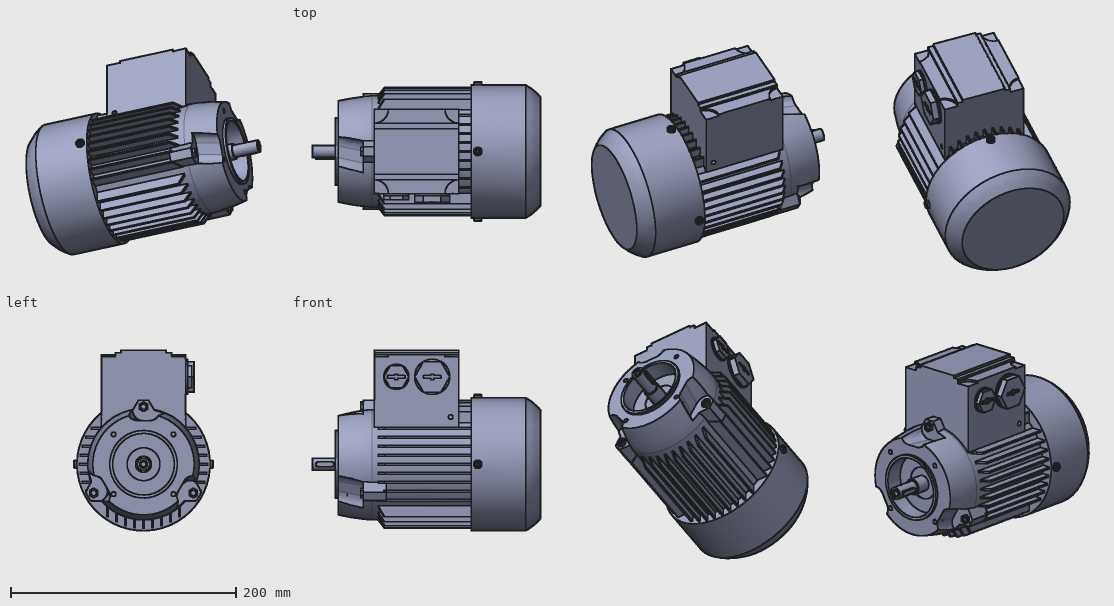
import cadquery as cq
import math


shaft_radius = 5.5
shoulder_radius = 7.0
shoulder_x = 23.0
centre_hole_radius = 2.5
centre_hole_mouth_radius = 3.5
centre_hole_depth = 10.1
centre_hole_chamfer = centre_hole_mouth_radius - centre_hole_radius
key_start_x = 3.0
key_end_x = 19.2
key_width = 4.0
key_top_radius = 6.9

spigot_x = 20.5
spigot_radius = 30.0
flange_x = 22.9
flange_face_radius = 45.0
flange_back_x = 52.6
flange_bulge = 0.6
bore_radius = 27.3
bore_floor_x = 36.9
bearing_seat_radius = 14.5
bearing_seat_height = 0.5
mount_hole_offset = 26.5
mount_hole_radius = 2.0
mount_hole_depth = 8.0

body_radius = 49.5
fin_tip_radius = 57.0
fin_root_x = 58.3
fin_tip_x = 64.2
fin_thickness = 1.6
fins_each_way = 4
outermost_fin_offset = 32.0
fin_pitch = outermost_fin_offset / fins_each_way

ear_angles = (0, 120, 240)
ear_front_x = 45.2
ear_back_x = 65.6
ear_top = 57.0
ear_top_half_width = 4.3
ear_foot = 48.0
ear_foot_half_width = 9.7
ear_root = 40.5
bolt_distance = 51.0
bolt_head_radius = 4.3
bolt_head_height = 2.5
bolt_socket_radius = 2.5
bolt_socket_depth = 1.2
pocket_half_width = 14.4
pocket_corner_radius = 9.1
pocket_mouth = 60.8
pocket_floor = 38.7
pocket_sideways_drift = 4.9

cover_x = 141.0
cover_radius = 59.1
cover_shoulder_x = 189.1
cover_end_x = 202.5
cover_end_radius = 48.2
cover_bulge = 0.8
screw_x = 146.8
screw_radius = 3.6
screw_tip = 62.0
screw_edge = 1.0
screw_root = 56.7
screw_recess_length = 4.5
screw_recess_width = 1.5
screw_recess_depth = 1.0

box_x = 55.0
box_size = 75.0
box_base_z = 32.6
box_top_z = 101.2
box_shoulder_z = 97.0
box_step_z = 99.0
crown_width = 40.0
step_width = 49.8
corner_pocket_radius = 12.4
corner_pocket_depth = 1.8
earth_hole_x = 122.7
earth_hole_z = 42.0
earth_hole_radius = 2.0
earth_hole_depth = 4.0

plug_z = 77.5
plugs = ((74.5, 11.1, 5.5), (106.3, 15.5, 7.5))
plug_washer_thickness = 1.6
plug_slot_length = 16.2
plug_slot_width = 2.5
plug_slot_depth = 1.2
plug_notch_width = 2.6
plug_notch_height = 4.9

box_half = box_size / 2
box_centre_x = box_x + box_half


def x_cylinder(radius, start_x, end_x):
    return cq.Workplane("YZ", origin=(start_x, 0, 0)).circle(radius).extrude(end_x - start_x)


def about_shaft(shape, angle):
    return shape.rotate((0, 0, 0), (1, 0, 0), angle)


def bulged_mid_point(start, end, bulge):
    """Middle of the line from start to end, moved outwards square to it by the bulge."""
    run = end[0] - start[0]
    rise = end[1] - start[1]
    length = math.hypot(run, rise)
    return (
        (start[0] + end[0]) / 2 - bulge * rise / length,
        (start[1] + end[1]) / 2 + bulge * run / length,
    )


def make_housing():
    """Spigot, flange, body and fan cover turned as one solid."""
    flange_front = (flange_x, flange_face_radius)
    flange_back = (flange_back_x, body_radius)
    cover_shoulder = (cover_shoulder_x, cover_radius)
    cover_end = (cover_end_x, cover_end_radius)
    return (
        cq.Workplane("XY")
        .moveTo(spigot_x, 0)
        .lineTo(spigot_x, spigot_radius)
        .lineTo(flange_x, spigot_radius)
        .lineTo(*flange_front)
        .threePointArc(bulged_mid_point(flange_front, flange_back, flange_bulge), flange_back)
        .lineTo(cover_x, body_radius)
        .lineTo(cover_x, cover_radius)
        .lineTo(*cover_shoulder)
        .threePointArc(bulged_mid_point(cover_shoulder, cover_end, cover_bulge), cover_end)
        .lineTo(cover_end_x, 0)
        .close()
        .revolve(360, (0, 0, 0), (1, 0, 0))
    )


def make_bolt_pocket():
    """Round-bottomed trough in the flange rim that drifts sideways as it runs back to the ear."""
    length = ear_front_x - flange_x
    depth = pocket_mouth - pocket_floor
    trough = (
        cq.Workplane("YZ", origin=(flange_x, 0, pocket_floor + depth / 2))
        .rect(2 * pocket_half_width, depth)
        .extrude(length)
        .edges("|X and <Z")
        .fillet(pocket_corner_radius)
    )
    front_face = trough.faces("<X").val()
    drift = cq.Vector(length, -pocket_sideways_drift, 0)
    return cq.Workplane(cq.Solid.extrudeLinear(front_face, drift))


def make_ear():
    """Clamping ear above the shaft with its hexagon bolt head."""
    ear = (
        cq.Workplane("YZ", origin=(ear_front_x, 0, 0))
        .moveTo(-ear_foot_half_width, ear_root)
        .lineTo(-ear_foot_half_width, ear_foot)
        .lineTo(-ear_top_half_width, ear_top)
        .lineTo(ear_top_half_width, ear_top)
        .lineTo(ear_foot_half_width, ear_foot)
        .lineTo(ear_foot_half_width, ear_root)
        .close()
        .extrude(ear_back_x - ear_front_x)
    )
    head_x = ear_front_x - bolt_head_height
    head = (
        cq.Workplane("YZ", origin=(head_x, 0, bolt_distance))
        .transformed(rotate=(0, 0, 90))
        .polygon(6, 2 * bolt_head_radius)
        .extrude(bolt_head_height)
    )
    socket = x_cylinder(bolt_socket_radius, head_x, head_x + bolt_socket_depth)
    return ear.union(head).cut(socket.translate((0, 0, bolt_distance)))


def make_fins():
    """Upright and level square-ended cooling fins with a bevelled front."""
    length = cover_x - fin_root_x
    section = cq.Workplane("YZ", origin=(fin_root_x, 0, 0))
    fins = cq.Workplane("YZ")
    for index in range(-fins_each_way, fins_each_way + 1):
        offset = index * fin_pitch
        outer_side = abs(offset) + fin_thickness / 2
        span = 2 * math.sqrt(fin_tip_radius**2 - outer_side**2)
        upright = section.center(offset, 0).rect(fin_thickness, span).extrude(length)
        level = section.center(0, offset).rect(span, fin_thickness).extrude(length)
        fins = fins.union(upright).union(level)
    envelope = (
        cq.Workplane("XY")
        .moveTo(fin_root_x, 0)
        .lineTo(fin_root_x, body_radius)
        .lineTo(fin_tip_x, fin_tip_radius)
        .lineTo(cover_x, fin_tip_radius)
        .lineTo(cover_x, 0)
        .close()
        .revolve(360, (0, 0, 0), (1, 0, 0))
    )
    return fins.intersect(envelope)


def make_shaft():
    """Stepped shaft with a centre hole in its end and a round-ended key on the -Y side."""
    shaft = x_cylinder(shaft_radius, 0, shoulder_x)
    shaft = shaft.union(x_cylinder(shoulder_radius, shoulder_x, bore_floor_x))
    key_length = key_end_x - key_start_x
    key = (
        cq.Workplane("XZ")
        .center((key_start_x + key_end_x) / 2, 0)
        .slot2D(key_length, key_width)
        .extrude(key_top_radius)
    )
    hole = x_cylinder(centre_hole_radius, 0, centre_hole_depth)
    mouth = cq.Workplane(
        cq.Solid.makeCone(
            centre_hole_mouth_radius,
            centre_hole_radius,
            centre_hole_chamfer,
            dir=cq.Vector(1, 0, 0),
        )
    )
    return shaft.union(key).cut(hole).cut(mouth)


def make_cover_screw():
    """Cross-recessed screw head on top of the fan cover."""
    head = (
        cq.Workplane("XY", origin=(screw_x, 0, screw_root))
        .circle(screw_radius)
        .extrude(screw_tip - screw_root)
        .faces(">Z")
        .chamfer(screw_edge)
    )
    recess_plane = cq.Workplane("XY", origin=(screw_x, 0, screw_tip - screw_recess_depth))
    for angle in (45, 135):
        bar = (
            recess_plane.transformed(rotate=(0, 0, angle))
            .rect(screw_recess_length, screw_recess_width)
            .extrude(screw_recess_depth)
        )
        head = head.cut(bar)
    return head


def make_terminal_box():
    """Square box with a stepped lid, lowered lid corners and an earth hole on each side."""
    plan = cq.Workplane("XY", origin=(box_centre_x, 0, box_base_z))
    box = plan.rect(box_size, box_size).extrude(box_shoulder_z - box_base_z)
    corners = (
        plan.workplane(offset=box_shoulder_z - corner_pocket_depth - box_base_z)
        .rect(box_size, box_size, forConstruction=True)
        .vertices()
        .circle(corner_pocket_radius)
        .extrude(corner_pocket_depth)
    )
    box = box.cut(corners)
    for width, top_z in ((step_width, box_step_z), (crown_width, box_top_z)):
        box = box.union(plan.rect(box_size, width).extrude(top_z - box_base_z))
    earth_plane = cq.Workplane("XZ", origin=(earth_hole_x, -box_half, earth_hole_z))
    earth_hole = earth_plane.circle(earth_hole_radius).extrude(-earth_hole_depth)
    return box.cut(earth_hole).cut(earth_hole.mirror("XZ"))


def make_plug(centre_x, radius, height):
    """Hexagon cable entry plug on a round washer, with a screwdriver slot."""
    base = cq.Workplane("XZ", origin=(centre_x, -box_half, plug_z))
    plug = base.circle(radius).extrude(plug_washer_thickness)
    plug = plug.union(base.polygon(6, 2 * radius).extrude(height))
    slot_floor = base.workplane(offset=height - plug_slot_depth)
    slot = slot_floor.slot2D(plug_slot_length, plug_slot_width).extrude(plug_slot_depth)
    notch = slot_floor.rect(plug_notch_width, plug_notch_height).extrude(plug_slot_depth)
    return plug.cut(slot).cut(notch)


housing = make_housing().cut(x_cylinder(bore_radius, spigot_x, bore_floor_x))
for ear_angle in ear_angles:
    housing = housing.cut(about_shaft(make_bolt_pocket(), ear_angle))
mount_holes = (
    cq.Workplane("YZ", origin=(flange_x, 0, 0))
    .rect(2 * mount_hole_offset, 2 * mount_hole_offset, forConstruction=True)
    .vertices()
    .circle(mount_hole_radius)
    .extrude(mount_hole_depth)
)
housing = housing.cut(mount_holes)

bearing_seat = x_cylinder(bearing_seat_radius, bore_floor_x - bearing_seat_height, bore_floor_x)
motor = housing.union(bearing_seat).union(make_shaft()).union(make_fins())
for ear_angle in ear_angles:
    motor = motor.union(about_shaft(make_ear(), ear_angle))
for screw_angle in (-90, 0, 90):
    motor = motor.union(about_shaft(make_cover_screw(), screw_angle))
motor = motor.union(make_terminal_box())
for plug_x, plug_radius, plug_height in plugs:
    motor = motor.union(make_plug(plug_x, plug_radius, plug_height))

result = motor